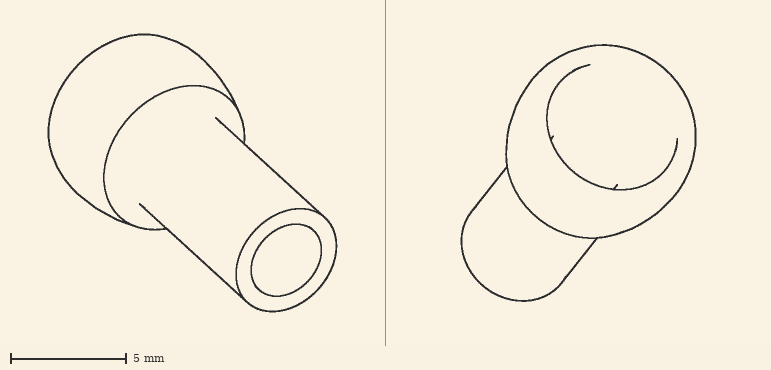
import cadquery as cq
import math

total_length = 14.75
head_length = 4.75
head_radius = 4.0
tube_radius = 2.5
bore_radius = 1.75

widest_x = 1.63
rear_arc_radius = 10.0

lip_radius = 0.4
cup_radius = head_radius - 2 * lip_radius

neck_fillet = 0.4
bore_edge_round = 0.4


def point_on_circle(center, radius, angle):
    """Point at the given angle (radians from +X) on a circle in the X-radius plane."""
    return (center[0] + radius * math.cos(angle), center[1] + radius * math.sin(angle))


def add_outside(profile, sphere_center, lip_angle):
    """Outer contour from the lip to the far end of the tube."""
    front_mid_angle = (lip_angle + math.pi / 2) / 2
    front_mid = point_on_circle(sphere_center, head_radius, front_mid_angle)
    widest = (widest_x, head_radius)

    rear_center = (widest_x, head_radius - rear_arc_radius)
    rear_end_angle = math.acos((head_length - widest_x) / rear_arc_radius)
    rear_mid_angle = (rear_end_angle + math.pi / 2) / 2
    rear_mid = point_on_circle(rear_center, rear_arc_radius, rear_mid_angle)
    rear_end = point_on_circle(rear_center, rear_arc_radius, rear_end_angle)

    neck_center = (head_length + neck_fillet, tube_radius + neck_fillet)
    neck_start = (head_length, neck_center[1])
    neck_mid = point_on_circle(neck_center, neck_fillet, -3 * math.pi / 4)
    neck_end = (neck_center[0], tube_radius)

    return (
        profile.threePointArc(front_mid, widest)
        .threePointArc(rear_mid, rear_end)
        .lineTo(*neck_start)
        .threePointArc(neck_mid, neck_end)
        .lineTo(total_length, tube_radius)
    )


def add_inside(profile, sphere_center, lip_angle):
    """Inner contour from the far end of the bore back to the inside of the lip."""
    edge_center_radius = bore_radius + bore_edge_round
    edge_angle = math.asin(edge_center_radius / (cup_radius + bore_edge_round))
    edge_center = point_on_circle(sphere_center, cup_radius + bore_edge_round, edge_angle)
    bore_start = (edge_center[0], bore_radius)
    edge_mid_angle = (edge_angle - math.pi - math.pi / 2) / 2
    edge_mid = point_on_circle(edge_center, bore_edge_round, edge_mid_angle)
    cup_bottom = point_on_circle(sphere_center, cup_radius, edge_angle)

    cup_mid = point_on_circle(sphere_center, cup_radius, (edge_angle + lip_angle) / 2)
    cup_rim = point_on_circle(sphere_center, cup_radius, lip_angle)

    return (
        profile.lineTo(total_length, bore_radius)
        .lineTo(*bore_start)
        .threePointArc(edge_mid, cup_bottom)
        .threePointArc(cup_mid, cup_rim)
    )


def make_profile():
    """Half section of the wall, with the radius along Y."""
    sphere_center = (widest_x, 0)

    lip_orbit_radius = head_radius - lip_radius
    lip_angle = math.acos((lip_radius - widest_x) / lip_orbit_radius)
    lip_center = point_on_circle(sphere_center, lip_orbit_radius, lip_angle)
    lip_tip = (0, lip_center[1])
    lip_outer = point_on_circle(sphere_center, head_radius, lip_angle)
    lip_inner = point_on_circle(sphere_center, cup_radius, lip_angle)

    profile = cq.Workplane("XY").moveTo(*lip_inner).threePointArc(lip_tip, lip_outer)
    profile = add_outside(profile, sphere_center, lip_angle)
    profile = add_inside(profile, sphere_center, lip_angle)
    return profile.close()


full_turn = 360
result = make_profile().revolve(full_turn, (0, 0, 0), (1, 0, 0))